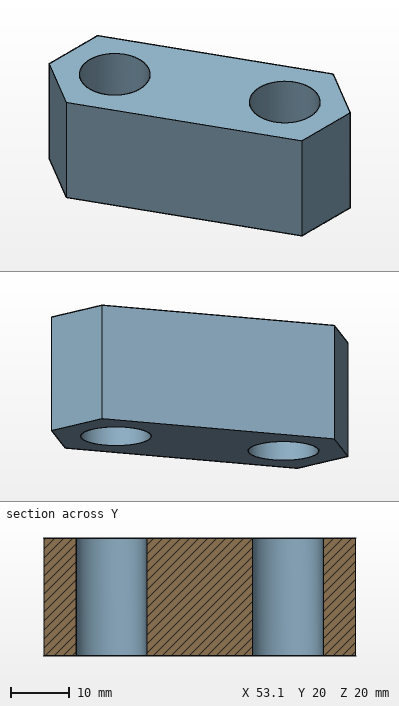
import cadquery as cq
import math

length = 53.1
width = 20.0
height = 20.0
hole_diameter = 12.0

hexagon_radius = width / math.sqrt(3)
hole_spacing = length - 2 * hexagon_radius
flat_half_length = length / 2 - hexagon_radius / 2

outline = [
    (-length / 2, 0),
    (-flat_half_length, -width / 2),
    (flat_half_length, -width / 2),
    (length / 2, 0),
    (flat_half_length, width / 2),
    (-flat_half_length, width / 2),
]
block = cq.Workplane("XY").polyline(outline).close().extrude(height)

hole_centres = [(-hole_spacing / 2, 0), (hole_spacing / 2, 0)]
holes = cq.Workplane("XY").pushPoints(hole_centres).circle(hole_diameter / 2).extrude(height)

result = block.cut(holes)